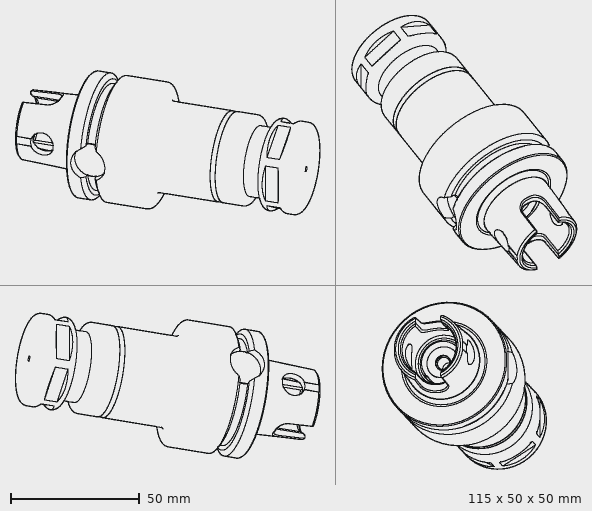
import cadquery as cq
import math

total_length = 115.0

shank_end_radius = 13.8
shank_base_radius = 14.8
shank_end_chamfer = 0.8
taper_end_x = 23.0
relief_length = 0.2
relief_radius = 14.6
relief_root_radius = 0.9

flange_face_x = 25.0
flange_radius = 50.0 / 2
flange_end_x = 54.9
flange_edge_chamfer = 0.5
flange_end_fillet = 1.2
face_recess_depth = 0.3
face_recess_inner_radius = 16.3
face_recess_outer_radius = 17.1
groove_radius = 21.0
groove_wall_radius = 22.9
groove_start_x = 32.1
groove_end_x = 35.8
groove_chamfer = 1.4

body_radius = 36.0 / 2
body_root_fillet = 3.0
body_end_x = 94.1
body_end_fillet = 2.1
ring_groove_start_x = 81.8
ring_groove_end_x = 83.8
ring_groove_depth = 0.1
neck_radius = 28.0 / 2
nut_start_x = 100.9
nut_radius = 36.5 / 2
nut_fillet = 2.2

flat_count = 6
flat_distance = 16.6
flat_start_x = 104.1
flat_end_x = 109.2
flat_wall_slope = 0.5

cavity_radius = 10.8
cavity_mouth_radius = 12.0
mouth_bevel_radius = 11.3
mouth_bevel_end_x = 0.7
mouth_lead_in_end_x = 1.6
cavity_end_x = 22.1
cavity_cone_end_x = 22.5
cavity_cone_end_radius = 9.8
cup_gap_radius = 9.0
cavity_floor_x = 27.6
cup_radius = 16.3 / 2
cup_inner_radius = 12.8 / 2
cup_end_x = 20.7
cup_depth = 2.3

entry_bore_radius = 6.0 / 2
entry_bore_depth = 1.2
middle_bore_radius = 5.0 / 2
middle_bore_depth = 8.0
through_bore_radius = 2.0 / 2

slot_half_width = 5.1
slot_end_x = 13.9
slot_corner_radius = 3.9
slot_edge_chamfer = 0.6

cross_hole_radius = 9.5 / 2
cross_hole_x = 11.3
keyway_width = 3.2
keyway_floor = 13.7

dimple_radius = 14.0 / 2
dimple_x = 33.9
dimple_floor = 20.4
dimple_pad_depth = 2.3


def revolve_about_x(outline):
    """Turn an outline, drawn from the axis back to the axis, into a solid."""
    return outline.close().revolve(360, (0, 0, 0), (1, 0, 0))


def rounded_corner(outline, start, corner, end):
    """Add a quarter-round from start to end, bulging toward corner."""
    centre = (start[0] + end[0] - corner[0], start[1] + end[1] - corner[1])
    diagonal = math.sqrt(0.5)
    middle = tuple(c + (k - c) * diagonal for c, k in zip(centre, corner))
    return outline.lineTo(*start).threePointArc(middle, end)


def outer_body():
    recess_floor_x = flange_face_x + face_recess_depth
    root_radius = body_radius + body_root_fillet
    outline = (
        cq.Workplane("XY")
        .lineTo(0, shank_end_radius - shank_end_chamfer)
        .lineTo(shank_end_chamfer, shank_end_radius)
        .lineTo(taper_end_x, shank_base_radius)
        .lineTo(taper_end_x + relief_length, relief_radius)
    )
    outline = rounded_corner(
        outline,
        (recess_floor_x - relief_root_radius, relief_radius),
        (recess_floor_x, relief_radius),
        (recess_floor_x, relief_radius + relief_root_radius),
    )
    outline = (
        outline.lineTo(recess_floor_x, face_recess_inner_radius)
        .lineTo(flange_face_x, face_recess_outer_radius)
        .lineTo(flange_face_x, flange_radius - flange_edge_chamfer)
        .lineTo(flange_face_x + flange_edge_chamfer, flange_radius)
        .lineTo(groove_start_x - groove_chamfer, flange_radius)
        .lineTo(groove_start_x, groove_wall_radius)
        .lineTo(groove_start_x, groove_radius)
        .lineTo(groove_end_x, groove_radius)
        .lineTo(groove_end_x, groove_wall_radius)
        .lineTo(groove_end_x + groove_chamfer, flange_radius)
    )
    outline = rounded_corner(
        outline,
        (flange_end_x - flange_end_fillet, flange_radius),
        (flange_end_x, flange_radius),
        (flange_end_x, flange_radius - flange_end_fillet),
    )
    outline = rounded_corner(
        outline,
        (flange_end_x, root_radius),
        (flange_end_x, body_radius),
        (flange_end_x + body_root_fillet, body_radius),
    )
    outline = (
        outline.lineTo(ring_groove_start_x, body_radius)
        .lineTo(ring_groove_start_x, body_radius - ring_groove_depth)
        .lineTo(ring_groove_end_x, body_radius - ring_groove_depth)
        .lineTo(ring_groove_end_x, body_radius)
    )
    outline = rounded_corner(
        outline,
        (body_end_x - body_end_fillet, body_radius),
        (body_end_x, body_radius),
        (body_end_x, body_radius - body_end_fillet),
    )
    outline = outline.lineTo(body_end_x, neck_radius).lineTo(nut_start_x, neck_radius)
    outline = rounded_corner(
        outline,
        (nut_start_x, nut_radius - nut_fillet),
        (nut_start_x, nut_radius),
        (nut_start_x + nut_fillet, nut_radius),
    )
    outline = rounded_corner(
        outline,
        (total_length - nut_fillet, nut_radius),
        (total_length, nut_radius),
        (total_length, nut_radius - nut_fillet),
    )
    return revolve_about_x(outline.lineTo(total_length, 0))


def cavity():
    outline = (
        cq.Workplane("XY")
        .lineTo(0, cavity_mouth_radius)
        .lineTo(mouth_bevel_end_x, mouth_bevel_radius)
        .lineTo(mouth_lead_in_end_x, cavity_radius)
        .lineTo(cavity_end_x, cavity_radius)
        .lineTo(cavity_cone_end_x, cavity_cone_end_radius)
        .lineTo(cavity_cone_end_x, cup_gap_radius)
        .lineTo(cavity_floor_x, cup_gap_radius)
        .lineTo(cavity_floor_x, 0)
    )
    return revolve_about_x(outline).cut(cup())


def cup():
    """A cup open toward -X whose rim is rounded over its whole wall thickness."""
    rim_radius = (cup_radius - cup_inner_radius) / 2
    rim_start_x = cup_end_x + rim_radius
    cup_floor_x = cup_end_x + cup_depth
    outline = (
        cq.Workplane("XY")
        .moveTo(cup_floor_x, 0)
        .lineTo(cup_floor_x, cup_inner_radius)
        .lineTo(rim_start_x, cup_inner_radius)
        .threePointArc((cup_end_x, cup_inner_radius + rim_radius), (rim_start_x, cup_radius))
        .lineTo(cavity_floor_x, cup_radius)
        .lineTo(cavity_floor_x, 0)
    )
    return revolve_about_x(outline)


def axial_bore():
    entry_step_x = cup_end_x + cup_depth + entry_bore_depth
    middle_step_x = entry_step_x + middle_bore_depth
    outline = (
        cq.Workplane("XY")
        .lineTo(0, entry_bore_radius)
        .lineTo(entry_step_x, entry_bore_radius)
        .lineTo(entry_step_x, middle_bore_radius)
        .lineTo(middle_step_x, middle_bore_radius)
        .lineTo(middle_step_x, through_bore_radius)
        .lineTo(total_length, through_bore_radius)
        .lineTo(total_length, 0)
    )
    return revolve_about_x(outline)


def cut_drive_slots(part):
    """Cut both slots and bevel their edges on the outside and inside of the wall."""
    slots = (
        cq.Workplane("XY")
        .box(2 * slot_end_x, 2 * slot_half_width, 2 * flange_radius)
        .edges("|Z")
        .fillet(slot_corner_radius)
    )
    part = part.cut(slots)
    slot_region = cq.selectors.BoxSelector(
        (mouth_lead_in_end_x, -slot_half_width - 0.1, -flange_radius),
        (slot_end_x + 0.1, slot_half_width + 0.1, flange_radius),
    )
    return part.edges(slot_region).edges("not |Z").chamfer(slot_edge_chamfer)


def wrench_flats():
    reach = nut_radius + 1.2 - flat_distance
    flare = reach * flat_wall_slope
    cutter = (
        cq.Workplane("XY")
        .moveTo(flat_start_x, flat_distance)
        .lineTo(flat_end_x, flat_distance)
        .lineTo(flat_end_x + flare, flat_distance + reach)
        .lineTo(flat_start_x - flare, flat_distance + reach)
        .close()
        .extrude(nut_radius, both=True)
    )
    cutters = cq.Workplane("XY")
    for index in range(flat_count):
        cutters = cutters.add(cutter.rotate((0, 0, 0), (1, 0, 0), index * 360 / flat_count))
    return cutters.combine()


def cross_hole():
    return (
        cq.Workplane("XZ", origin=(cross_hole_x, 0, 0))
        .circle(cross_hole_radius)
        .extrude(flange_radius, both=True)
    )


def keyways():
    length = cross_hole_x
    outside = cq.Workplane("XY").box(length, 2 * flange_radius, keyway_width, centered=(False, True, True))
    inside = cq.Workplane("XY").box(length, 2 * keyway_floor, keyway_width, centered=(False, True, True))
    return outside.cut(inside)


def dimple_disc(side, depth):
    """A disc from the dimple floor on one side, toward the axis, or outward for a negative depth."""
    floor_plane = cq.Workplane("XZ", origin=(dimple_x, side * dimple_floor, 0))
    return floor_plane.circle(dimple_radius).extrude(side * depth)


def add_dimples(part):
    """Fill the gripper groove up to each dimple floor, then clear the dimple outside it."""
    for side in (-1, 1):
        part = part.union(dimple_disc(side, dimple_pad_depth))
        part = part.cut(dimple_disc(side, -flange_radius))
    return part


result = outer_body().cut(cavity()).cut(axial_bore())
result = cut_drive_slots(result)
result = result.cut(cross_hole()).cut(keyways()).cut(wrench_flats())
result = add_dimples(result)